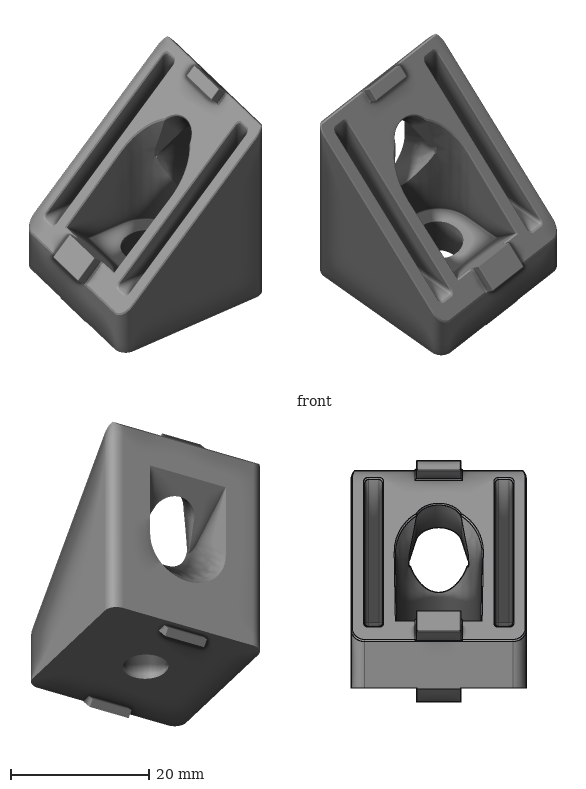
import cadquery as cq
import math

body_size = 25.4
half = body_size / 2
front_height = 6.92
back_height = 30.92
corner_radius = 1.92
edge_break = 0.17
slope_offset = front_height + half
ridge_y = (half + back_height - slope_offset) / 2
ridge_z = ridge_y + slope_offset

tab_width = 6.43
slope_tab_height = 1.9
ridge_tab_length = 1.95
base_tab_thickness = 1.22
base_tab_depth = 2.0
base_tab_lip = 0.15
tab_edge_radius = 0.15
tab_foot = 0.2
tab_root = 0.35

pocket_half_width = 6.05
pocket_floor_z = 5.95
pocket_ramp_sum = 0.1
pocket_draft = 1.0
pocket_bend_radius = 0.98
pocket_floor_fillet = 0.2
floor_hole_width = 6.5
floor_hole_length = 6.78
floor_hole_draft = 2.4

recess_half_width = 6.25
recess_center_z = 13.95
recess_inner_half_width = 4.68
recess_inner_center_z = 20.45
recess_inner_y = 4.2
recess_roof_depth = 4.82
bore_radius = 3.4
bore_flare_angle = 13.0
bore_top = 9.92
bore_flare_half_width = 4.35
bore_bottom = 1.92

slot_width = 2.6
slot_center_x = 9.45
slot_back_y = 10.75
slot_floor_z = 8.95
slot_corner_radius = 0.52

reach = 2 * body_size


def side_prism(points, width, center_x=0):
    """Prism along X with a (y, z) profile."""
    prism = cq.Workplane("YZ").polyline(points).close().extrude(width / 2, both=True)
    return prism.translate((center_x, 0, 0))


def slope_point(along, out):
    """(y, z) reached from the ridge: down the slope, then out along its normal."""
    step = math.sqrt(0.5)
    return (ridge_y - (along + out) * step, ridge_z + (out - along) * step)


def wedge_body():
    profile = [
        (-half, 0),
        (half, 0),
        (half, back_height),
        (ridge_y, ridge_z),
        (-half, front_height),
    ]
    column = cq.Workplane("XY").rect(body_size, body_size).extrude(reach)
    column = column.edges("|Z").fillet(corner_radius)
    return column.intersect(side_prism(profile, body_size))


def screw_pocket():
    """U-shaped drafted pocket with a level floor and a 45 degree ramp at the front."""
    cutter = (
        cq.Workplane("XY")
        .workplane(offset=pocket_floor_z)
        .moveTo(-pocket_half_width, -half)
        .lineTo(pocket_half_width, -half)
        .lineTo(pocket_half_width, 0)
        .threePointArc((0, pocket_half_width), (-pocket_half_width, 0))
        .close()
        .extrude(reach / 2, taper=-pocket_draft)
        .faces("<Z")
        .edges()
        .fillet(pocket_floor_fillet)
    )
    ramp_foot_y = pocket_ramp_sum - pocket_floor_z
    room = side_prism(
        [(ramp_foot_y, pocket_floor_z), (half, pocket_floor_z), (half, reach), (pocket_ramp_sum - reach, reach)],
        body_size,
    )
    ramp_foot = cq.selectors.NearestToPointSelector((0, ramp_foot_y, pocket_floor_z))
    return cutter.intersect(room.edges(ramp_foot).fillet(pocket_bend_radius))


def floor_hole():
    """Slightly long through hole in the pocket floor."""
    hole = cq.Workplane("XY").slot2D(floor_hole_length, floor_hole_width, 90)
    return hole.extrude(pocket_floor_z, taper=-floor_hole_draft)


def recess_outline(y, half_width, center_z):
    """Round-bottomed, straight-sided outline in a plane facing -Y."""
    outline = (
        cq.Workplane("XZ", origin=(0, y, 0))
        .moveTo(-half_width, reach)
        .lineTo(-half_width, center_z)
        .threePointArc((0, center_z - half_width), (half_width, center_z))
        .lineTo(half_width, reach)
        .close()
    )
    return outline.val()


def back_recess():
    """Tunnel narrowing upward from the back face, under a roof parallel to the slope."""
    back_outline = recess_outline(half, recess_half_width, recess_center_z)
    inner_outline = recess_outline(recess_inner_y, recess_inner_half_width, recess_inner_center_z)
    tunnel = cq.Solid.makeLoft([back_outline, inner_outline], True)
    roof_offset = slope_offset - recess_roof_depth * math.sqrt(2)
    room = side_prism([(0, 0), (half, 0), (half, half + roof_offset), (0, roof_offset)], body_size)
    return room.intersect(cq.Workplane(tunnel))


def access_bore():
    """Round-topped opening, flaring downhill, cut square to the sloped face."""
    plane = cq.Plane(origin=(0, 0, slope_offset), xDir=(1, 0, 0), normal=(0, -1, 1))
    flare = math.radians(bore_flare_angle)
    side_x = bore_radius * math.cos(flare)
    side_v = bore_top - bore_radius + bore_radius * math.sin(flare)
    drop = (bore_flare_half_width - side_x) / math.tan(flare)
    return (
        cq.Workplane(plane)
        .moveTo(-bore_flare_half_width, side_v - drop)
        .lineTo(-side_x, side_v)
        .threePointArc((0, bore_top), (side_x, side_v))
        .lineTo(bore_flare_half_width, side_v - drop)
        .lineTo(bore_flare_half_width, bore_bottom)
        .lineTo(-bore_flare_half_width, bore_bottom)
        .close()
        .extrude(-recess_roof_depth)
    )


def side_slot(side):
    """Slot with an upright back wall and a level floor, open at the sloped face."""
    slot = side_prism(
        [(-half, slot_floor_z), (slot_back_y, slot_floor_z), (slot_back_y, reach), (-half, reach)],
        slot_width,
        side * slot_center_x,
    )
    return slot.edges("(>Y and |Z) or (<Z and |Y) or (<Z and >Y)").fillet(slot_corner_radius)


def slope_prism(start, length, height, width):
    """Block on the sloped face, rooted just below it; start is measured down from the ridge."""
    profile = [
        slope_point(start, -tab_root),
        slope_point(start, height),
        slope_point(start + length, height),
        slope_point(start + length, -tab_root),
    ]
    return side_prism(profile, width)


def slope_tab(start, length, foot_length):
    """Tab standing square on the sloped face, with a rounded rim and a chamfered foot."""
    tab = slope_prism(start, length, slope_tab_height, tab_width)
    tab = tab.faces(">(0,-1,1)").edges("|(0,1,1) or <(0,1,1)").fillet(tab_edge_radius)
    foot = slope_prism(start, foot_length, tab_foot, tab_width + 2 * tab_foot)
    foot_edges = "|(0,1,1)" if foot_length == length else "|(0,1,1) or <(0,1,1)"
    foot = foot.faces(">(0,-1,1)").edges(foot_edges).chamfer(tab_foot)
    return tab.union(foot)


def base_tab(front_y):
    """Thin tab under the base, leaning down toward +Y at 45 degrees."""
    step = base_tab_thickness / math.sqrt(2)
    tip_y = front_y + base_tab_depth - base_tab_lip
    profile = [
        (front_y, tab_root),
        (front_y, -base_tab_lip),
        (tip_y, -base_tab_depth),
        (tip_y + step, step - base_tab_depth),
        (front_y + 2 * step - base_tab_lip, 0),
        (front_y + 2 * step - base_tab_lip, tab_root),
    ]
    return side_prism(profile, tab_width)


part = wedge_body().cut(screw_pocket()).cut(access_bore())
for side in (-1, 1):
    part = part.cut(side_slot(side))
part = part.faces(">(0,-1,1)").edges().chamfer(edge_break)
part = part.cut(back_recess()).cut(floor_hole())

slope_length = (ridge_y + half) * math.sqrt(2)
front_tab_length = (pocket_ramp_sum + half - front_height) / math.sqrt(2)
part = part.union(slope_tab(0, ridge_tab_length, ridge_tab_length + tab_foot))
part = part.union(slope_tab(slope_length - front_tab_length, front_tab_length, front_tab_length))

back_tab_y = half - base_tab_depth - base_tab_thickness / math.sqrt(2)
for front_y in (-half, back_tab_y):
    part = part.union(base_tab(front_y))

result = part